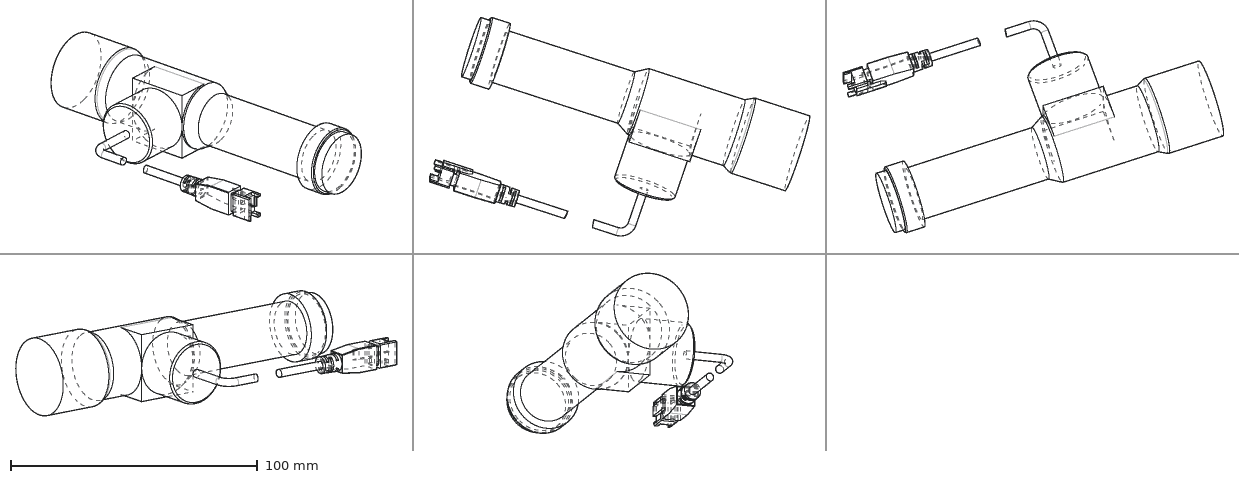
import cadquery as cq
import math

TUBE_LENGTH = 139.4
HEAD_RADIUS = 16.0
HEAD_LENGTH = 23.1
HEAD_BEVEL_END = 24.0
HEAD_BEVEL_RADIUS = 15.8
HEAD_CONE_END = 27.0
MIDDLE_RADIUS = 14.1
MIDDLE_END = 68.0
MIDDLE_CONE_END = 73.2
NECK_RADIUS = 11.0
FLANGE_START = 127.4
FLANGE_END = 135.6
FLANGE_RADIUS = MIDDLE_RADIUS
FLANGE_CHAMFER = 0.5
LIP_RADIUS = 12.7

PORT_X = 54.2
PORT_RADIUS = 13.0
PORT_END = 33.7
PORT_CHAMFER = 0.8

GRIP_START = 110.0
GRIP_TAPER_END = 118.5
GRIP_END = 127.5
GRIP_TOP_Y = -50.0
GRIP_BOTTOM_Y = -58.0
GRIP_START_HALF_WIDTH = 3.9
GRIP_HALF_WIDTH = 5.2
GRIP_CHAMFER = 0.3

CABLE_RADIUS = 1.7
CABLE_Y = (GRIP_TOP_Y + GRIP_BOTTOM_Y) / 2
BEND_RADIUS = 4.9
LEAD_END_X = 69.3
PLUG_CABLE_START_X = 80.9
CUT_SLANT = 0.4

RELIEF_START = 101.9
RELIEF_START_RADIUS = 3.5
RELIEF_END_RADIUS = 3.8
SLOT_WIDTH = 0.9
SLOT_FLOOR = 1.7
Z_SLOT_CENTRES = (103.6, 108.2)
Y_SLOT_CENTRES = (105.5,)

SHELL_START = 129.8
SHELL_END = 138.0
SHELL_BOTTOM_Y = -57.6
SHELL_CHAMFER_Y = 0.7
SHELL_CHAMFER_Z = 0.4
PLUG_NECK_TOP_Y = -51.5
PLUG_NECK_BOTTOM_Y = -56.3
MOUTH_START = 134.8
MOUTH_TOP_Y = -51.9
MOUTH_BOTTOM_Y = -56.3
PRONG_HEIGHT = 1.3

PIN_END = 137.0
PIN_Y = -53.4
PIN_SIZE = 0.4

LATCH_START = 122.4
LATCH_END = 135.0
LATCH_TOP_Y = -48.7
LATCH_HALF_WIDTH = 2.1
LATCH_TAIL_LENGTH = 2.1
LATCH_TAIL_THICKNESS = 0.8
LATCH_NOSE_LENGTH = 0.4
LATCH_NOSE_THICKNESS = 0.5
POST_START = 128.5


def box_between(x_range, y_range, z_range):
    """Box spanning the given (low, high) ranges."""
    sizes = [high - low for low, high in (x_range, y_range, z_range)]
    corner = (x_range[0], y_range[0], z_range[0])
    return cq.Workplane("XY").box(*sizes, centered=False).translate(corner)


def slanted_cutter(x, toward, lean):
    """Block that removes the cable beyond x on the side `toward` (+1 or -1).

    Its slanted face crosses the cable axis at x and is `lean` further along X
    at the +Y side of the cable than at the -Y side.
    """
    reach = 2 * CABLE_RADIUS
    far_x = x + toward * reach
    return (
        cq.Workplane("XY")
        .polyline([
            (x + lean, CABLE_Y + reach),
            (x - lean, CABLE_Y - reach),
            (far_x, CABLE_Y - reach),
            (far_x, CABLE_Y + reach),
        ])
        .close()
        .extrude(reach, both=True)
    )


def make_tube():
    profile = [
        (0, 0),
        (0, HEAD_RADIUS),
        (HEAD_LENGTH, HEAD_RADIUS),
        (HEAD_BEVEL_END, HEAD_BEVEL_RADIUS),
        (HEAD_CONE_END, MIDDLE_RADIUS),
        (MIDDLE_END, MIDDLE_RADIUS),
        (MIDDLE_CONE_END, NECK_RADIUS),
        (FLANGE_START, NECK_RADIUS),
        (FLANGE_START, FLANGE_RADIUS),
        (FLANGE_END - FLANGE_CHAMFER, FLANGE_RADIUS),
        (FLANGE_END, FLANGE_RADIUS - FLANGE_CHAMFER),
        (FLANGE_END, LIP_RADIUS),
        (TUBE_LENGTH, LIP_RADIUS),
        (TUBE_LENGTH, 0),
    ]
    return cq.Workplane("XY").polyline(profile).close().revolve(360, (0, 0, 0), (1, 0, 0))


def make_port():
    block = box_between(
        (PORT_X - PORT_RADIUS, PORT_X + PORT_RADIUS),
        (-MIDDLE_RADIUS, 0),
        (-MIDDLE_RADIUS, MIDDLE_RADIUS),
    )
    socket = (
        cq.Workplane("XZ")
        .center(PORT_X, 0)
        .circle(PORT_RADIUS)
        .extrude(PORT_END)
        .faces("<Y")
        .chamfer(PORT_CHAMFER)
    )
    return block.union(socket)


def make_housing():
    return make_tube().union(make_port())


def make_lead():
    """Cable from the port face, bent from -Y to +X."""
    bend_start_y = CABLE_Y + BEND_RADIUS
    bend_end_x = PORT_X + BEND_RADIUS
    diagonal = BEND_RADIUS * math.sqrt(0.5)
    path = (
        cq.Workplane("XY")
        .moveTo(PORT_X, -PORT_END)
        .lineTo(PORT_X, bend_start_y)
        .threePointArc((bend_end_x - diagonal, bend_start_y - diagonal), (bend_end_x, CABLE_Y))
        .lineTo(LEAD_END_X + CUT_SLANT, CABLE_Y)
    )
    cable = cq.Workplane("XZ", origin=(PORT_X, -PORT_END, 0)).circle(CABLE_RADIUS).sweep(path)
    return cable.cut(slanted_cutter(LEAD_END_X, 1, CUT_SLANT))


def make_plug_cable():
    start = PLUG_CABLE_START_X - CUT_SLANT
    cable = (
        cq.Workplane("YZ", origin=(start, CABLE_Y, 0)).circle(CABLE_RADIUS).extrude(RELIEF_START - start)
    )
    return cable.cut(slanted_cutter(PLUG_CABLE_START_X, -1, -CUT_SLANT))


def make_strain_relief():
    sleeve = (
        cq.Workplane("YZ", origin=(RELIEF_START, CABLE_Y, 0))
        .circle(RELIEF_START_RADIUS)
        .workplane(offset=GRIP_START - RELIEF_START)
        .circle(RELIEF_END_RADIUS)
        .loft(ruled=True)
    )
    slot = box_between(
        (-SLOT_WIDTH / 2, SLOT_WIDTH / 2),
        (-RELIEF_END_RADIUS, RELIEF_END_RADIUS),
        (SLOT_FLOOR, RELIEF_END_RADIUS),
    )
    slots = [(x, turn) for x in Z_SLOT_CENTRES for turn in (0, 180)]
    slots += [(x, turn) for x in Y_SLOT_CENTRES for turn in (90, 270)]
    for x, turn in slots:
        sleeve = sleeve.cut(slot.rotate((0, 0, 0), (1, 0, 0), turn).translate((x, CABLE_Y, 0)))
    return sleeve


def make_grip():
    outline = [
        (GRIP_START, GRIP_START_HALF_WIDTH),
        (GRIP_TAPER_END, GRIP_HALF_WIDTH),
        (GRIP_END, GRIP_HALF_WIDTH),
        (GRIP_END, -GRIP_HALF_WIDTH),
        (GRIP_TAPER_END, -GRIP_HALF_WIDTH),
        (GRIP_START, -GRIP_START_HALF_WIDTH),
    ]
    block = (
        cq.Workplane("XZ", origin=(0, GRIP_TOP_Y, 0))
        .polyline(outline)
        .close()
        .extrude(GRIP_TOP_Y - GRIP_BOTTOM_Y)
    )
    return block.faces("<Y or <X").edges("not >X").chamfer(GRIP_CHAMFER)


def make_shell():
    """Connector shell with its long edges chamfered and a mouth open to +X, +Y and both Z sides."""
    shell = box_between(
        (SHELL_START, SHELL_END),
        (SHELL_BOTTOM_Y, GRIP_TOP_Y),
        (-GRIP_HALF_WIDTH, GRIP_HALF_WIDTH),
    )
    for side in (">Z", "<Z"):
        shell = shell.faces(side).edges("|X").chamfer(SHELL_CHAMFER_Z, SHELL_CHAMFER_Y)
    mouth = box_between(
        (MOUTH_START, SHELL_END),
        (MOUTH_BOTTOM_Y, MOUTH_TOP_Y),
        (-GRIP_HALF_WIDTH, GRIP_HALF_WIDTH),
    )
    window_half_width = GRIP_HALF_WIDTH - PRONG_HEIGHT
    window = box_between(
        (MOUTH_START, SHELL_END),
        (MOUTH_TOP_Y, GRIP_TOP_Y),
        (-window_half_width, window_half_width),
    )
    pin = box_between(
        (MOUTH_START, PIN_END),
        (PIN_Y - PIN_SIZE / 2, PIN_Y + PIN_SIZE / 2),
        (-PIN_SIZE / 2, PIN_SIZE / 2),
    )
    return shell.cut(mouth).cut(window).union(pin)


def make_plug_neck():
    return box_between(
        (GRIP_END, SHELL_START),
        (PLUG_NECK_BOTTOM_Y, PLUG_NECK_TOP_Y),
        (-GRIP_START_HALF_WIDTH, GRIP_START_HALF_WIDTH),
    )


def make_latch():
    outline = [
        (LATCH_START, LATCH_TOP_Y),
        (LATCH_END, LATCH_TOP_Y),
        (LATCH_END, LATCH_TOP_Y - LATCH_NOSE_THICKNESS),
        (LATCH_END - LATCH_NOSE_LENGTH, GRIP_TOP_Y),
        (LATCH_START + LATCH_TAIL_LENGTH, GRIP_TOP_Y),
        (LATCH_START, LATCH_TOP_Y - LATCH_TAIL_THICKNESS),
    ]
    lever = cq.Workplane("XY").polyline(outline).close().extrude(LATCH_HALF_WIDTH, both=True)
    post = box_between(
        (POST_START, SHELL_START),
        (PLUG_NECK_TOP_Y, GRIP_TOP_Y),
        (-LATCH_HALF_WIDTH, LATCH_HALF_WIDTH),
    )
    return lever.union(post)


def make_plug():
    plug = make_grip()
    for piece in (make_plug_cable(), make_strain_relief(), make_plug_neck(), make_shell(), make_latch()):
        plug = plug.union(piece)
    return plug


housing = make_housing()
lead = make_lead()
plug = make_plug()

result = cq.Compound.makeCompound([housing.val(), lead.val(), plug.val()])